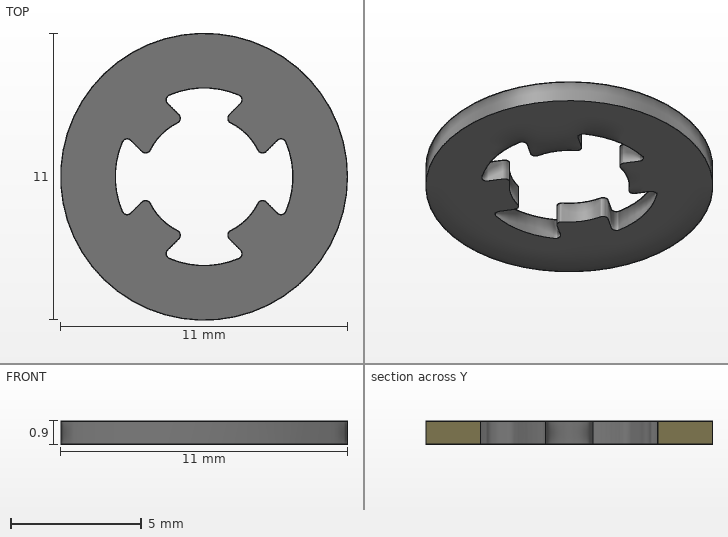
import cadquery as cq

outer_diameter = 11.0
thickness = 0.9
root_diameter = 6.8
tab_tip_diameter = 4.6
tab_width = 2.0
tab_count = 4
first_tab_angle = 45.0
corner_radius = 0.2

tab_spacing = 360 / tab_count


def disc(diameter):
    """Solid disc standing on the XY plane."""
    return cq.Workplane("XY").circle(diameter / 2).extrude(thickness)


def tab_bar(angle):
    """Straight bar reaching from the axis past the root circle."""
    bar_length = outer_diameter / 2
    bar = cq.Workplane("XY").center(bar_length / 2, 0).rect(bar_length, tab_width).extrude(thickness)
    return bar.rotate((0, 0, 0), (0, 0, 1), angle)


def is_tab_corner(edge):
    """True for upright edges off the X axis; the seams of the round walls lie on that axis."""
    return abs(edge.Center().y) > corner_radius


def tabbed_opening():
    """Root disc less the tabs, with every tab corner rounded."""
    opening = disc(root_diameter)
    for index in range(tab_count):
        opening = opening.cut(tab_bar(first_tab_angle + index * tab_spacing))
    opening = opening.union(disc(tab_tip_diameter))
    return opening.edges("|Z").filter(is_tab_corner).fillet(corner_radius)


result = disc(outer_diameter).cut(tabbed_opening())